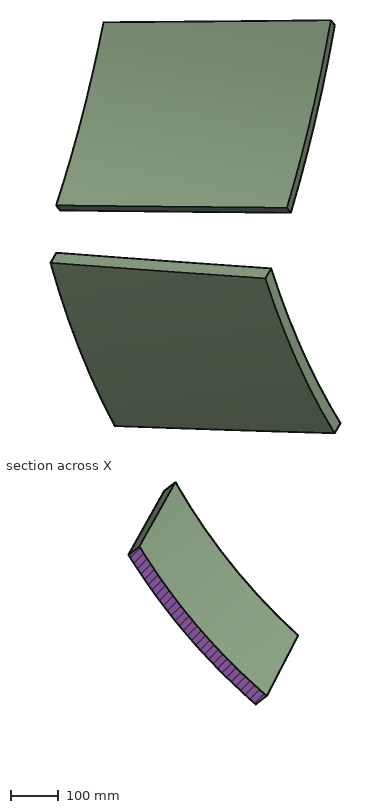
import cadquery as cq

panel_width = 489.0
panel_chord = 413.0
side_skew = 80.5
inner_radius = 1100.2
wall = 35.5
lean_angle = 45.3

outer_radius = inner_radius + wall
half_span = (panel_chord + side_skew) / 2

tube_wall = (
    cq.Workplane("YZ")
    .circle(outer_radius)
    .circle(inner_radius)
    .extrude(panel_width)
)

outline = [
    (0, -half_span),
    (panel_width, -half_span + side_skew),
    (panel_width, half_span),
    (0, half_span - side_skew),
]
trim_block = cq.Workplane("XY").polyline(outline).close().extrude(-outer_radius)

panel = tube_wall.intersect(trim_block)

result = panel.rotate((0, 0, 0), (1, 0, 0), lean_angle)